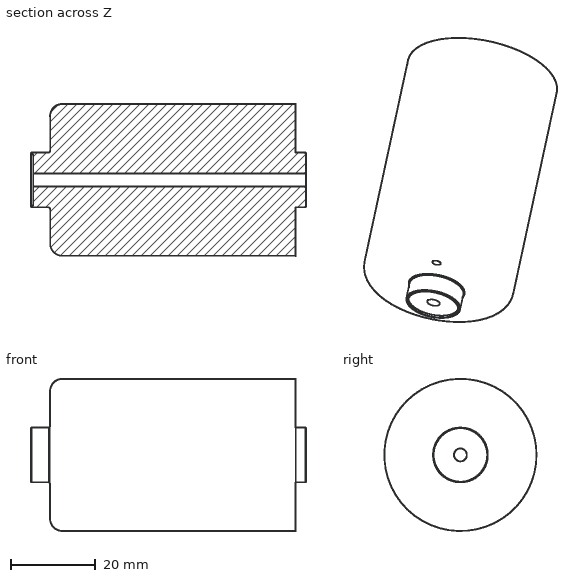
import cadquery as cq

total_length = 65.0
body_diameter = 36.0
front_boss_length = 4.5
rear_boss_length = 2.5
boss_diameter = 13.0
body_length = total_length - front_boss_length - rear_boss_length

body_fillet = 3.0
boss_chamfer = 0.2
boss_root_chamfer = 0.25

recess_diameter = 12.0
recess_depth = 0.5

shaft_hole_diameter = 3.0
face_hole_diameter = 2.0
face_hole_offset = 12.5
face_hole_depth = 3.9

front_end = -total_length / 2
body_front = front_end + front_boss_length


def cylinder(start_x, length, diameter, z=0):
    """Cylinder along +X, starting at start_x."""
    return cq.Workplane("YZ", origin=(start_x, 0, z)).circle(diameter / 2).extrude(length)


body = cylinder(body_front, body_length, body_diameter).faces("<X").edges().fillet(body_fillet)

bosses = cylinder(front_end, total_length, boss_diameter)
bosses = bosses.faces("<X or >X").edges().chamfer(boss_chamfer)

result = body.union(bosses)

root_radius = boss_diameter / 2
root_profile = [
    (body_front - boss_root_chamfer, root_radius),
    (body_front, root_radius + boss_root_chamfer),
    (body_front, root_radius - boss_root_chamfer),
    (body_front - boss_root_chamfer, root_radius - boss_root_chamfer),
]
root_flare = cq.Workplane("XY").polyline(root_profile).close().revolve(360, (0, 0, 0), (1, 0, 0))
result = result.union(root_flare)

result = result.cut(cylinder(front_end, recess_depth, recess_diameter))

result = result.cut(cylinder(front_end, total_length, shaft_hole_diameter))

for side in (-1, 1):
    result = result.cut(
        cylinder(body_front, face_hole_depth, face_hole_diameter, side * face_hole_offset)
    )